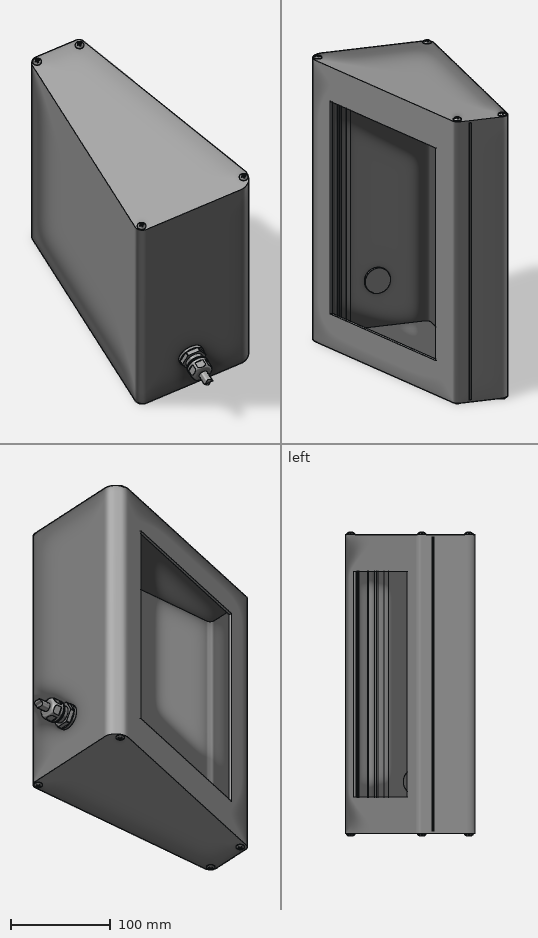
import cadquery as cq
import math

LENGTH = 240.0
DEPTH = 130.29
HEIGHT = 300.0
SLOPE = 18.0
WALL = 3.0
COVER_THICKNESS = 1.25
GASKET_THICKNESS = 1.25
BASE_RADIUS = 8.3
LOW_RADIUS = 6.0
TALL_RADIUS = 15.0

GROOVE_Y = 42.3
GROOVE_WIDTH = 2.4
GROOVE_DEPTH = 1.0

WINDOW_Y_MIN = 68.2
WINDOW_Y_MAX = 122.3
WINDOW_HEIGHT = 226.5

RIBS = [
    (87.0, 91.7, 1.5),
    (97.6, 98.8, 3.0),
    (107.0, 108.2, 2.0),
    (116.4, 117.6, 3.0),
    (118.8, 120.0, 3.0),
]
BEAD_Y_MIN = 101.1
BEAD_Y_MAX = 107.0
BEAD_PROJECTION = 4.0
BEAD_RADIUS = 3.6

SCREW_POINTS = [(5.9, 6.3), (LENGTH - 5.9, 6.3), (7.4, 53.5), (227.6, 124.9)]
SCREW_DIAMETER = 8.8
SCREW_HEIGHT = 2.48
SCREW_RIM = 0.5
SCREW_TOP_DIAMETER = 3.6
SCREW_DOME_RADIUS = 5.0
RECESS_LENGTH = 4.5
RECESS_WIDTH = 1.0
RECESS_DEPTH = 1.2

GLAND_Y = 58.6
GLAND_Z = 52.2
BASE_DIAMETER = 27.0
BASE_LENGTH = 3.0
BASE_HEX_FLATS = 23.4
BASE_HEX_CORNERS = 26.6
BASE_HEX_END = 7.6
NECK_DIAMETER = 18.5
COLLAR_START = 12.0
COLLAR_CONE_END = 13.3
COLLAR_FULL = 14.6
COLLAR_FOOT_DIAMETER = 19.8
COLLAR_STEP_DIAMETER = 21.6
COLLAR_DIAMETER = 23.0
NUT_START = 18.2
NUT_FLATS = 21.2
NUT_END = 27.6
NUT_ROUND = 4.2
THREAD_DIAMETER = 20.0
LOCKNUT_DIAMETER = 27.0
LOCKNUT_LENGTH = 3.0
CABLE_DIAMETER = 9.4
OVERALL_LENGTH = 280.36
CABLE_BULGE = 1.75

PLATE_THICKNESS = COVER_THICKNESS + GASKET_THICKNESS
CABLE_TIP = OVERALL_LENGTH - LENGTH
slope = math.radians(SLOPE)
tall_centre_x = LENGTH - TALL_RADIUS
tall_centre_y = DEPTH - TALL_RADIUS
slope_end_x = tall_centre_x - TALL_RADIUS * math.sin(slope)
slope_end_y = tall_centre_y + TALL_RADIUS * math.cos(slope)


def slope_y(x):
    """Y of the sloping wall's outer face at a given X."""
    return slope_end_y - (slope_end_x - x) * math.tan(slope)


def slope_x(y):
    """X of the sloping wall's outer face at a given Y."""
    return slope_end_x - (slope_end_y - y) / math.tan(slope)


def outline_prism(inset, z_min, z_max):
    """Prism of the housing outline, moved inwards by the inset."""
    tall_corner_y = slope_y(LENGTH)
    inset_rise = inset / math.cos(slope)
    left = inset
    right = LENGTH - inset
    corners = [
        (left, inset),
        (right, inset),
        (right, tall_corner_y - inset * math.tan(slope) - inset_rise),
        (left, slope_y(left) - inset_rise),
    ]
    prism = cq.Workplane("XY").workplane(offset=z_min).polyline(corners).close().extrude(z_max - z_min)
    prism = prism.edges("|Z and <Y").fillet(BASE_RADIUS - inset)
    prism = prism.edges("|Z").edges(">Y").fillet(TALL_RADIUS - inset)
    low_corner = cq.selectors.NearestToPointSelector((left, corners[3][1], (z_min + z_max) / 2))
    return prism.edges("|Z").edges(low_corner).fillet(LOW_RADIUS - inset)


def inner_rib(y_min, y_max, projection):
    """Full-height rib on the inside of the tall side wall."""
    x_root = LENGTH - WALL
    height = HEIGHT - 2 * PLATE_THICKNESS
    return (
        cq.Workplane("XY")
        .box(projection, y_max - y_min, height, centered=False)
        .translate((x_root - projection, y_min, PLATE_THICKNESS))
    )


def screw_head():
    """Domed screw head with a cross recess, standing on Z = 0."""
    radius = SCREW_DIAMETER / 2
    head = (
        cq.Workplane("XZ")
        .moveTo(0, 0)
        .lineTo(radius, 0)
        .lineTo(radius, SCREW_RIM)
        .radiusArc((SCREW_TOP_DIAMETER / 2, SCREW_HEIGHT), -SCREW_DOME_RADIUS)
        .lineTo(0, SCREW_HEIGHT)
        .close()
        .revolve(360, (0, 0, 0), (0, 1, 0))
    )
    for angle in (0, 90):
        slot = (
            cq.Workplane("XY")
            .workplane(offset=SCREW_HEIGHT - RECESS_DEPTH)
            .rect(RECESS_LENGTH, RECESS_WIDTH)
            .extrude(RECESS_DEPTH)
            .rotate((0, 0, 0), (0, 0, 1), angle)
        )
        head = head.cut(slot)
    return head


def v_groove():
    """Shallow V cutter along the short side wall, between the end plates (gasket plus cover)."""
    return (
        cq.Workplane("XY")
        .workplane(offset=PLATE_THICKNESS)
        .polyline([
            (0, GROOVE_Y - GROOVE_WIDTH / 2),
            (GROOVE_DEPTH, GROOVE_Y),
            (0, GROOVE_Y + GROOVE_WIDTH / 2),
        ])
        .close()
        .extrude(HEIGHT - 2 * PLATE_THICKNESS)
    )


def window():
    """Cutter through the sloping wall, square to it."""
    x_min = slope_x(WINDOW_Y_MIN)
    x_max = slope_x(WINDOW_Y_MAX)
    inward_x = WALL * math.sin(slope)
    inward_y = -WALL * math.cos(slope)
    return (
        cq.Workplane("XY")
        .workplane(offset=(HEIGHT - WINDOW_HEIGHT) / 2)
        .polyline([
            (x_min, WINDOW_Y_MIN),
            (x_max, WINDOW_Y_MAX),
            (x_max + inward_x, WINDOW_Y_MAX + inward_y),
            (x_min + inward_x, WINDOW_Y_MIN + inward_y),
        ])
        .close()
        .extrude(WINDOW_HEIGHT)
    )


def make_housing():
    """Hollow profile closed at both ends by a gasket and a screwed cover."""
    profile = outline_prism(0, PLATE_THICKNESS, HEIGHT - PLATE_THICKNESS)
    profile = profile.cut(outline_prism(WALL, PLATE_THICKNESS, HEIGHT - PLATE_THICKNESS))
    for y_min, y_max, projection in RIBS:
        profile = profile.union(inner_rib(y_min, y_max, projection))
    bead = inner_rib(BEAD_Y_MIN, BEAD_Y_MAX, BEAD_PROJECTION)
    profile = profile.union(bead.edges("|Z and <X and <Y").fillet(BEAD_RADIUS))
    profile = profile.cut(v_groove()).cut(window())
    gland_hole = (
        cq.Workplane("YZ")
        .workplane(offset=LENGTH - WALL)
        .center(GLAND_Y, GLAND_Z)
        .circle(THREAD_DIAMETER / 2)
        .extrude(WALL)
    )
    body = profile.cut(gland_hole)
    gasket_levels = (PLATE_THICKNESS, HEIGHT - COVER_THICKNESS)
    cover_levels = (COVER_THICKNESS, HEIGHT)
    for z_max in gasket_levels:
        body = body.union(outline_prism(0, z_max - GASKET_THICKNESS, z_max), clean=False)
    for z_max in cover_levels:
        body = body.union(outline_prism(0, z_max - COVER_THICKNESS, z_max), clean=False)
    for x, y in SCREW_POINTS:
        top_screw = screw_head().translate((x, y, HEIGHT))
        bottom_screw = screw_head().mirror("XY").translate((x, y, 0))
        body = body.union(top_screw, clean=False).union(bottom_screw, clean=False)
    return body


def hex_bar(flats, start, end):
    """Hexagonal bar along X with flats facing up and down."""
    across_corners = flats / math.cos(math.radians(30))
    return cq.Workplane("YZ").workplane(offset=start).polygon(6, across_corners).extrude(end - start)


def round_bar(diameter, start, end):
    """Round bar along X."""
    return cq.Workplane("YZ").workplane(offset=start).circle(diameter / 2).extrude(end - start)


def collar():
    """Short cone and a step that open the neck up to the full collar diameter."""
    return (
        cq.Workplane("XY")
        .moveTo(COLLAR_START, 0)
        .lineTo(COLLAR_START, COLLAR_FOOT_DIAMETER / 2)
        .lineTo(COLLAR_CONE_END, COLLAR_STEP_DIAMETER / 2)
        .lineTo(COLLAR_FULL, COLLAR_STEP_DIAMETER / 2)
        .lineTo(COLLAR_FULL, COLLAR_DIAMETER / 2)
        .lineTo(NUT_START, COLLAR_DIAMETER / 2)
        .lineTo(NUT_START, 0)
        .close()
        .revolve(360, (0, 0, 0), (1, 0, 0))
    )


def dome_nut():
    """Round nut with a rounded outer edge and six flats."""
    nut = round_bar(COLLAR_DIAMETER, NUT_START, NUT_END)
    nut = nut.faces(">X").edges().fillet(NUT_ROUND)
    return nut.intersect(hex_bar(NUT_FLATS, NUT_START, NUT_END))


def cable():
    """Cable stub with an S-shaped broken end."""
    radius = CABLE_DIAMETER / 2
    break_x = CABLE_TIP - CABLE_BULGE
    side = (
        cq.Workplane("XZ")
        .moveTo(NUT_END, -radius)
        .lineTo(break_x, -radius)
        .threePointArc((break_x - CABLE_BULGE, -radius / 2), (break_x, 0))
        .threePointArc((CABLE_TIP, radius / 2), (break_x, radius))
        .lineTo(NUT_END, radius)
        .close()
        .extrude(radius, both=True)
    )
    return round_bar(CABLE_DIAMETER, NUT_END, CABLE_TIP).intersect(side)


def make_gland():
    """Gland with lock nut and cable, set in the hole of the tall side wall."""
    gland = round_bar(BASE_DIAMETER, 0, BASE_LENGTH)
    base_hex = hex_bar(BASE_HEX_FLATS, BASE_LENGTH, BASE_HEX_END)
    gland = gland.union(base_hex.intersect(round_bar(BASE_HEX_CORNERS, BASE_LENGTH, BASE_HEX_END)))
    gland = gland.union(round_bar(NECK_DIAMETER, BASE_HEX_END, COLLAR_START))
    gland = gland.union(collar()).union(dome_nut()).union(cable())
    gland = gland.union(round_bar(THREAD_DIAMETER, -WALL, 0))
    gland = gland.union(round_bar(LOCKNUT_DIAMETER, -WALL - LOCKNUT_LENGTH, -WALL))
    return gland.translate((LENGTH, GLAND_Y, GLAND_Z))


housing = make_housing()
cable_gland = make_gland()
result = cq.Compound.makeCompound([housing.val(), cable_gland.val()])